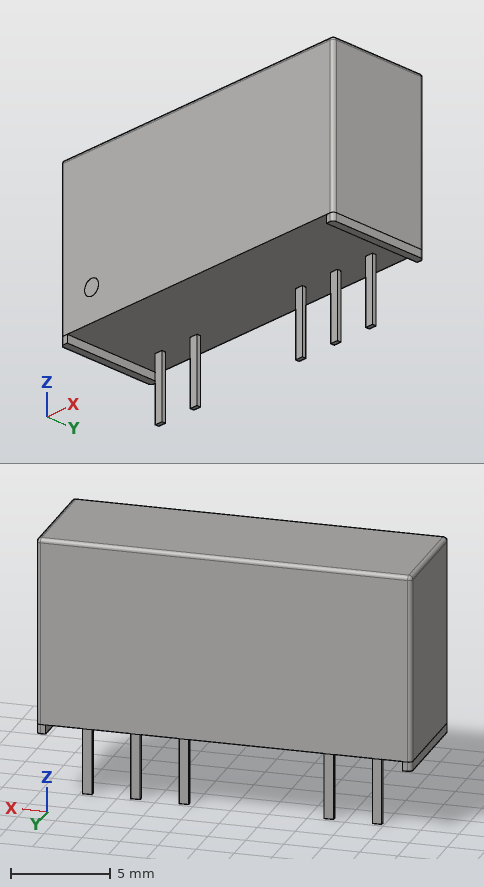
import cadquery as cq

LENGTH = 19.75
WIDTH = 6.35
TOTAL_HEIGHT = 13.95
PIN_LENGTH = 4.0
HOUSING_HEIGHT = TOTAL_HEIGHT - PIN_LENGTH
EDGE_RADIUS = 0.22

FOOT_LENGTH = 0.5
FOOT_HEIGHT = 0.5

PIN_WIDTH = 0.5
PIN_THICKNESS = 0.25
PIN_ROW_Y = 1.64
OUTER_PIN_SPAN = 15.25
OUTER_PIN_STEPS = 3
PIN_PITCH = OUTER_PIN_SPAN / (2 * OUTER_PIN_STEPS)
PIN_GRID_STEPS = [-OUTER_PIN_STEPS, -2, 1, 2, OUTER_PIN_STEPS]

MARKER_DIAMETER = 1.0
MARKER_DEPTH = 0.1
MARKER_X = -OUTER_PIN_SPAN / 2
MARKER_Z = 2.01


def rounded_block(bottom, height):
    """Block with the housing's plan outline and rounded vertical edges."""
    block = cq.Workplane("XY").workplane(offset=bottom).rect(LENGTH, WIDTH).extrude(height)
    return block.edges("|Z").fillet(EDGE_RADIUS)


def make_marker():
    """Disc that fills the round recess in the -Y face."""
    front_face = cq.Workplane("XZ", origin=(MARKER_X, -WIDTH / 2, MARKER_Z))
    return front_face.circle(MARKER_DIAMETER / 2).extrude(-MARKER_DEPTH)


def make_housing(marker):
    """Housing with rounded side and top edges and a recess for the marker."""
    block = rounded_block(0, HOUSING_HEIGHT)
    return block.faces(">Z").edges().fillet(EDGE_RADIUS).cut(marker)


def make_foot(side):
    """Foot under the -X end (side = -1) or the +X end (side = 1)."""
    centre_x = side * (LENGTH - FOOT_LENGTH) / 2
    strip = cq.Workplane("XY").box(FOOT_LENGTH, WIDTH, FOOT_HEIGHT)
    strip = strip.translate((centre_x, 0, -FOOT_HEIGHT / 2))
    return rounded_block(-FOOT_HEIGHT, FOOT_HEIGHT).intersect(strip)


def make_pin(grid_step):
    """Flat pin hanging from the housing underside."""
    pin = cq.Workplane("XY").rect(PIN_WIDTH, PIN_THICKNESS).extrude(-PIN_LENGTH)
    return pin.translate((grid_step * PIN_PITCH, PIN_ROW_Y, 0))


marker = make_marker()
housing = make_housing(marker)
feet = [make_foot(side) for side in (-1, 1)]
pins = [make_pin(grid_step) for grid_step in PIN_GRID_STEPS]

result = cq.Compound.makeCompound([body.solids().val() for body in [housing, marker, *feet, *pins]])